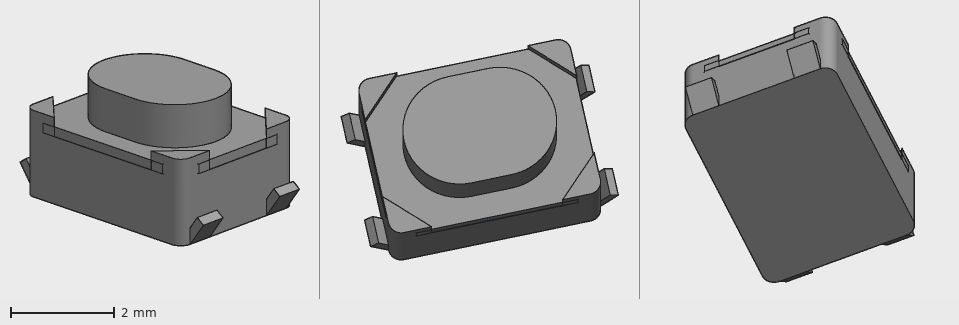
import cadquery as cq
import math

overall_length = 4.92
housing_length = 4.2
housing_width = 3.2
housing_height = 1.8
corner_radius = 0.25
post_leg = 0.8

plate_bottom = 1.4
plate_thickness = 0.2
plate_top = plate_bottom + plate_thickness
plate_corner_cut = 0.5
plate_inset = 0.01
button_length = 3.0
button_width = 2.2
button_top = 2.5

lead_thickness = 0.2
lead_reach = (overall_length - housing_length) / 2
lead_lean = math.radians(36)
lead_outer_edge = housing_width / 2 - corner_radius
lead_inner_edge = housing_width / 2 - post_leg
lead_width = lead_outer_edge - lead_inner_edge


def cut_corner_block(length, width, corner_cut, bottom, top):
    """Rectangular block with its four vertical corners cut at 45 degrees."""
    return (
        cq.Workplane("XY", origin=(0, 0, bottom))
        .rect(length, width)
        .extrude(top - bottom)
        .edges("|Z")
        .chamfer(corner_cut)
    )


def make_housing():
    """Rounded block with four corner posts and a slot for the plate."""
    block = (
        cq.Workplane("XY")
        .rect(housing_length, housing_width)
        .extrude(housing_height)
        .edges("|Z")
        .fillet(corner_radius)
    )
    plate_slot = cut_corner_block(
        housing_length, housing_width, plate_corner_cut, plate_bottom, plate_top
    )
    space_between_posts = cut_corner_block(
        housing_length, housing_width, post_leg, plate_top, housing_height
    )
    return block.cut(plate_slot).cut(space_between_posts)


def make_actuator():
    """Plate and oblong button in one piece."""
    full_plate = cut_corner_block(
        housing_length, housing_width, plate_corner_cut, plate_bottom, plate_top
    )
    long_edge_strips = (
        cq.Workplane("XY", origin=(0, 0, plate_bottom))
        .pushPoints([(0, -housing_width / 2), (0, housing_width / 2)])
        .rect(housing_length - 2 * post_leg, 2 * plate_inset)
        .extrude(plate_thickness)
    )
    short_edge_strips = (
        cq.Workplane("XY", origin=(0, 0, plate_bottom))
        .pushPoints([(-housing_length / 2, 0), (housing_length / 2, 0)])
        .rect(2 * plate_inset, housing_width - 2 * post_leg)
        .extrude(plate_thickness)
    )
    plate = full_plate.cut(long_edge_strips).cut(short_edge_strips)
    button = (
        cq.Workplane("XY", origin=(0, 0, plate_bottom))
        .slot2D(button_length, button_width)
        .extrude(button_top - plate_bottom)
    )
    return plate.union(button)


def make_lead(x_side, y_side):
    """One lead on the end face x_side, in the half y_side."""
    face_x = housing_length / 2
    tip_x = face_x + lead_reach
    tip_z = lead_reach / math.tan(lead_lean)
    profile = [
        (face_x, 0),
        (tip_x, tip_z),
        (
            tip_x - lead_thickness * math.cos(lead_lean),
            tip_z + lead_thickness * math.sin(lead_lean),
        ),
        (face_x, lead_thickness / math.sin(lead_lean)),
    ]
    lead_center_y = y_side * (lead_inner_edge + lead_outer_edge) / 2
    return (
        cq.Workplane("XZ", origin=(0, lead_center_y, 0))
        .polyline([(x_side * x, z) for x, z in profile])
        .close()
        .extrude(lead_width / 2, both=True)
    )


housing = make_housing()
actuator = make_actuator()
leads = [make_lead(x_side, y_side) for x_side in (-1, 1) for y_side in (-1, 1)]

result = cq.Compound.makeCompound(
    [housing.val(), actuator.val(), *[lead.val() for lead in leads]]
)